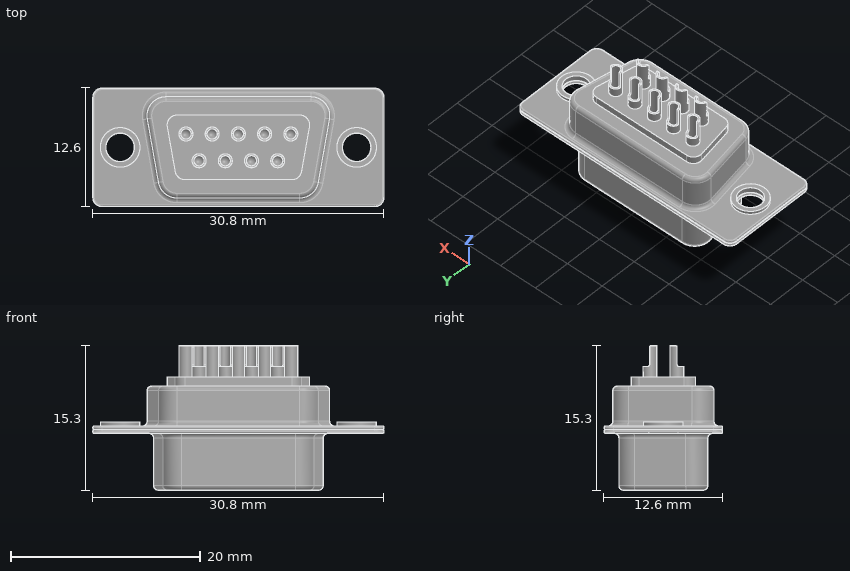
import cadquery as cq
import math


flange_length = 30.8
flange_width = 12.55
plate_thickness = 0.4
plate_corner_radius = 1.0
plate_edge_radius = 0.15
flange_top = 2 * plate_thickness

hole_spacing = 25.02
hole_diameter = 3.0
collar_diameter = 4.2
collar_height = 0.43

flank_angle = 10
shell_corner_radius = 2.0
shell_edge_radius = 0.5

rear_shell_width = 18.2
rear_shell_depth = 10.72
rear_shell_top = 5.02

front_shell_width = 17.07
front_shell_depth = 9.43
front_shell_length = 6.0

insert_width = 14.25
insert_depth = 6.85
insert_corner_radius = 1.05
insert_top = 5.98

overall_height = 15.3
cup_top = overall_height - front_shell_length
cup_diameter = 1.48
cup_bore_diameter = 1.08
cup_notch_floor = 7.1
cup_notch_offset = 0.045
cup_notch_radius = 0.22
cup_pitch = 2.77
cup_row_spacing = 2.83
back_row_count = 5
front_row_count = 4


def d_body(width, depth, corner_radius, bottom, top):
    """Prism with a rounded D outline that narrows towards -Y."""
    taper = depth / 2 * math.tan(math.radians(flank_angle))
    back = width / 2 + taper
    front = width / 2 - taper
    outline = [(-back, depth / 2), (back, depth / 2), (front, -depth / 2), (-front, -depth / 2)]
    prism = cq.Workplane("XY").workplane(offset=bottom).polyline(outline).close().extrude(top - bottom)
    return prism.edges("|Z").fillet(corner_radius)


def hole_cylinders(diameter, bottom, top):
    """Two upright cylinders at the mounting holes."""
    base = cq.Workplane("XY").workplane(offset=bottom)
    centers = base.pushPoints([(-hole_spacing / 2, 0), (hole_spacing / 2, 0)])
    return centers.circle(diameter / 2).extrude(top - bottom)


def mounting_collars():
    """Rings around the mounting holes, sunk into the upper plate so that they fill its rounded rim."""
    bottom = flange_top - plate_thickness / 2
    top = flange_top + collar_height
    return hole_cylinders(collar_diameter, bottom, top).cut(hole_cylinders(hole_diameter, bottom, top))


def flange_plate(bottom):
    """Plate with rounded corners and two mounting holes; every rim is rounded."""
    plate = cq.Workplane("XY").workplane(offset=bottom)
    plate = plate.rect(flange_length, flange_width).extrude(plate_thickness)
    plate = plate.edges("|Z").fillet(plate_corner_radius)
    plate = plate.cut(hole_cylinders(hole_diameter, bottom, bottom + plate_thickness))
    return plate.faces("|Z").edges().fillet(plate_edge_radius)


def shells_on_flange(flange):
    """Rear and front shells, rounded at their ends and blended into the flange faces."""
    rear = d_body(rear_shell_width, rear_shell_depth, shell_corner_radius, 0, rear_shell_top)
    front = d_body(front_shell_width, front_shell_depth, shell_corner_radius, -front_shell_length, flange_top)
    rear = rear.faces(">Z").edges().fillet(shell_edge_radius)
    front = front.faces("<Z").edges().fillet(shell_edge_radius)
    body = flange.union(rear).union(front)
    for flange_face, width, depth in (
        (flange_top, rear_shell_width, rear_shell_depth),
        (0, front_shell_width, front_shell_depth),
    ):
        reach_x = (width + depth) / 2
        reach_y = depth / 2 + plate_edge_radius
        foot = cq.selectors.BoxSelector(
            (-reach_x, -reach_y, flange_face - plate_edge_radius / 2),
            (reach_x, reach_y, flange_face + plate_edge_radius / 2),
        )
        body = body.edges(foot).fillet(shell_edge_radius)
    return body


def cup_bore():
    """Cutter on the Z axis: straight down to the insert face, closed by a hemisphere below it."""
    bore_radius = cup_bore_diameter / 2
    return (
        cq.Workplane("XZ")
        .moveTo(0, insert_top - bore_radius)
        .radiusArc((bore_radius, insert_top), -bore_radius)
        .lineTo(bore_radius, cup_top)
        .lineTo(0, cup_top)
        .close()
        .revolve(360, (0, 0), (0, 1))
    )


def solder_cup(open_side):
    """Solid cup on the Z axis, its upper part cut away towards open_side * Y."""
    cup = cq.Workplane("XY").workplane(offset=insert_top).circle(cup_diameter / 2)
    cup = cup.extrude(cup_top - insert_top)

    wall = open_side * cup_notch_offset
    outside = open_side * cup_diameter
    turn = open_side * cup_notch_radius
    notch = (
        cq.Workplane("YZ")
        .moveTo(outside, cup_notch_floor)
        .lineTo(wall + turn, cup_notch_floor)
        .radiusArc((wall, cup_notch_floor + cup_notch_radius), open_side * cup_notch_radius)
        .lineTo(wall, cup_top - cup_notch_radius)
        .radiusArc((wall - turn, cup_top), -open_side * cup_notch_radius)
        .lineTo(outside, cup_top)
        .close()
        .extrude(cup_diameter / 2, both=True)
    )
    return cup.cut(notch)


def add_cup_row(body, count, y, open_side):
    """Body with an evenly spaced row of bored cups centred on X = 0."""
    first_x = -(count - 1) / 2 * cup_pitch
    cup = solder_cup(open_side)
    bore = cup_bore()
    for i in range(count):
        place = (first_x + i * cup_pitch, y, 0)
        body = body.union(cup.translate(place)).cut(bore.translate(place))
    return body


front_plate = flange_plate(0)
rear_plate = flange_plate(plate_thickness)

result = shells_on_flange(front_plate.union(rear_plate))
result = result.union(d_body(insert_width, insert_depth, insert_corner_radius, 0, insert_top))

result = result.union(mounting_collars())

result = add_cup_row(result, back_row_count, cup_row_spacing / 2, 1)
result = add_cup_row(result, front_row_count, -cup_row_spacing / 2, -1)